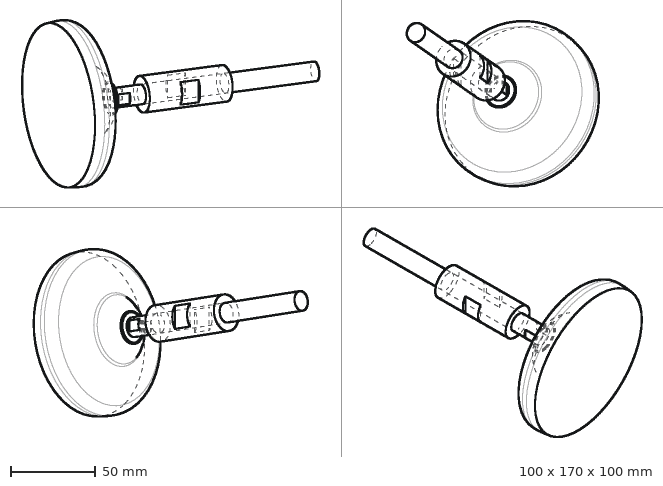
import cadquery as cq

total_length = 170.0

base_radius = 49.3
rim_radius = 50.0
rim_low = 6.1
rim_high = 9.2
shoulder_radius = 44.7
shoulder_height = 15.8
shoulder_mid_radius = 48.5
shoulder_mid_height = 13.5
cone_top_radius = 22.1
cone_top_height = 23.6
blend_mid_radius = 21.2
blend_mid_height = 24.3
dome_base_radius = 20.7
dome_base_height = 25.2
dome_mid_radius = 16.3
dome_mid_height = 30.0
dome_top_radius = 8.8
foot_height = 34.0

stud_radius = 6.0
flange_radius = 9.9
flange_edge_radius = 9.2
flange_edge_height = 34.8
flange_top_height = 35.4
stud_flat_width = 9.9
stud_flat_start = 36.9
stud_flat_length = 7.8

sleeve_radius = 11.0
sleeve_start = 55.0
sleeve_length = 54.9
sleeve_flat_width = 17.2
sleeve_flat_length = 11.9


def rod(radius, start, length):
    """Cylinder on the Y axis running from start towards +Y."""
    plane = cq.Workplane("XZ", origin=(0, start, 0))
    return plane.circle(radius).extrude(-length)


def cut_side_flats(body, radius, width, start, length):
    """Cut two opposite wrench flats facing -X and +X, width apart."""
    middle = start + length / 2
    band = rod(2 * radius, start, length)
    core = cq.Workplane("XY").box(width, length, 4 * radius).translate((0, middle, 0))
    return body.cut(band.cut(core))


def make_foot():
    """Revolved foot with a rounded rim, a cone and a dome with a flat top."""
    profile = (
        cq.Workplane("XY")
        .lineTo(base_radius, 0)
        .lineTo(rim_radius, rim_low)
        .lineTo(rim_radius, rim_high)
        .threePointArc((shoulder_mid_radius, shoulder_mid_height), (shoulder_radius, shoulder_height))
        .lineTo(cone_top_radius, cone_top_height)
        .threePointArc((blend_mid_radius, blend_mid_height), (dome_base_radius, dome_base_height))
        .threePointArc((dome_mid_radius, dome_mid_height), (dome_top_radius, foot_height))
        .lineTo(0, foot_height)
        .close()
    )
    return profile.revolve(360, (0, 0, 0), (0, 1, 0))


def make_stud():
    """Round stud with a flange on the foot and two wrench flats near its lower end."""
    flange_mid_height = (foot_height + flange_edge_height) / 2
    profile = (
        cq.Workplane("XY")
        .moveTo(0, foot_height)
        .lineTo(dome_top_radius, foot_height)
        .threePointArc((flange_radius, flange_mid_height), (flange_edge_radius, flange_edge_height))
        .lineTo(stud_radius, flange_top_height)
        .lineTo(stud_radius, total_length)
        .lineTo(0, total_length)
        .close()
    )
    body = profile.revolve(360, (0, 0, 0), (0, 1, 0))
    return cut_side_flats(body, stud_radius, stud_flat_width, stud_flat_start, stud_flat_length)


def make_sleeve():
    """Sleeve around the stud, with two wrench flats at mid length."""
    body = rod(sleeve_radius, sleeve_start, sleeve_length)
    flat_start = sleeve_start + (sleeve_length - sleeve_flat_length) / 2
    body = cut_side_flats(body, sleeve_radius, sleeve_flat_width, flat_start, sleeve_flat_length)
    return body.cut(rod(stud_radius, sleeve_start, sleeve_length))


foot = make_foot()
stud = make_stud()
sleeve = make_sleeve()

result = cq.Compound.makeCompound([foot.val(), stud.val(), sleeve.val()])